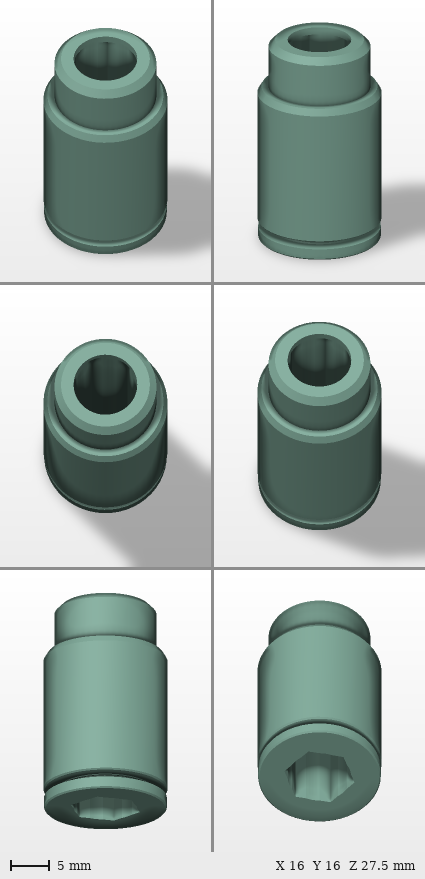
import cadquery as cq
import math

height = 27.5
body_diameter = 16.0
neck_diameter = 13.15
flange_diameter = 15.8
groove_diameter = 12.1
lip_diameter = 12.6

flange_top = 1.5
lip_bottom = 2.36
body_bottom = 2.5
neck_length = 6.5
body_top = height - neck_length

chamfer_height = 0.85
neck_chamfer_width = 0.85
body_chamfer_width = 0.52
small_chamfer = 0.2
groove_root_chamfer = 0.16

bore_diameter = 8.2
hex_across_flats = 8.0
hex_ceiling_depth = 1.0
hex_corner_angle = 30.0


def turned_body():
    """Revolve the stepped outer profile, built as (radius, height) points."""
    body_radius = body_diameter / 2
    neck_radius = neck_diameter / 2
    flange_radius = flange_diameter / 2
    groove_radius = groove_diameter / 2
    lip_radius = lip_diameter / 2
    profile = [
        (0, 0),
        (flange_radius - small_chamfer, 0),
        (flange_radius, small_chamfer),
        (flange_radius, flange_top),
        (groove_radius + groove_root_chamfer, flange_top),
        (groove_radius, flange_top + groove_root_chamfer),
        (groove_radius, lip_bottom),
        (lip_radius, lip_bottom),
        (lip_radius, body_bottom),
        (body_radius - small_chamfer, body_bottom),
        (body_radius, body_bottom + small_chamfer),
        (body_radius, body_top - chamfer_height),
        (body_radius - body_chamfer_width, body_top),
        (neck_radius, body_top),
        (neck_radius, height - chamfer_height),
        (neck_radius - neck_chamfer_width, height),
        (0, height),
    ]
    return cq.Workplane("XZ").polyline(profile).close().revolve(360, (0, 0, 0), (0, 1, 0))


def bore():
    return cq.Workplane("XY").circle(bore_diameter / 2).extrude(height)


def hex_socket():
    """Hexagon open at the bottom; its corners cut into the bore wall and stop below the top face."""
    across_corners = hex_across_flats / math.cos(math.pi / 6)
    return (
        cq.Workplane("XY")
        .polygon(6, across_corners)
        .extrude(height - hex_ceiling_depth)
        .rotate((0, 0, 0), (0, 0, 1), hex_corner_angle)
    )


result = turned_body().cut(bore()).cut(hex_socket())